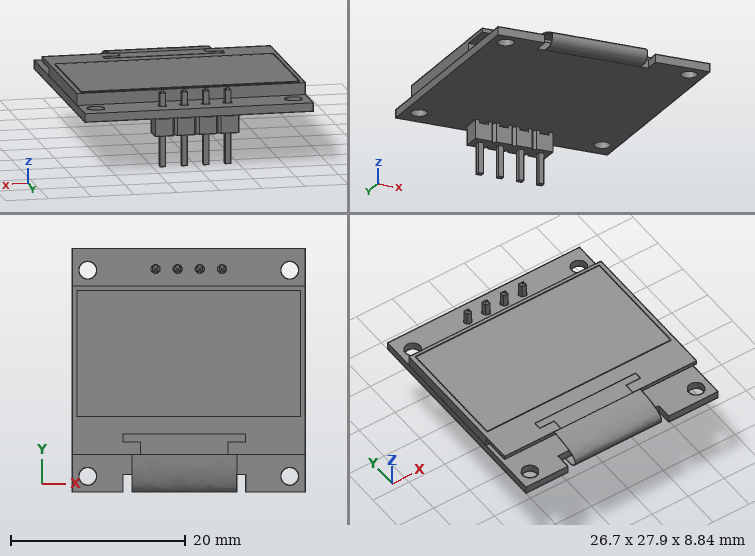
import cadquery as cq


BOARD_X = 26.7
BOARD_Y = 27.86
BOARD_Z = 1.0
BOARD_FRONT = -BOARD_Y / 2
MOUNT_HOLE_DIAMETER = 2.0
MOUNT_HOLE_X = 11.55
MOUNT_HOLE_REAR_Y = 11.44
MOUNT_HOLE_FRONT_Y = -12.13

RIBBON_CENTRE_X = -0.5
RIBBON_X = 12.0
RIBBON_THICKNESS = 0.03
RIBBON_STEP = 1.0
TAIL_STEM_X = RIBBON_X - 2 * RIBBON_STEP
TAIL_BAR_X = RIBBON_X + 2 * RIBBON_STEP
TAIL_BAR_Y = 0.95
TAIL_LENGTH = 2.35
NOTCH_X = RIBBON_X + 2 * RIBBON_STEP
NOTCH_DEPTH = 2.0

GLASS_REAR = 9.62
UPPER_GLASS_Y = 19.24
LOWER_GLASS_Y = 15.5
UPPER_GLASS_Z = 0.5
LOWER_GLASS_Z = 0.9
GLASS_FRONT = GLASS_REAR - UPPER_GLASS_Y
GLASS_TOP = BOARD_Z + LOWER_GLASS_Z + UPPER_GLASS_Z
POLARIZER_X = 25.55
POLARIZER_Y = 14.43
POLARIZER_Z = 0.1
POLARIZER_REAR_INSET = 0.48

PIN_COUNT = 4
PIN_PITCH = 2.54
PIN_WIDTH = 0.64
PIN_ROW_Y = 11.58
PIN_LENGTH = 8.84
PIN_TOP = 2.7
PIN_TIP_HEIGHT = 0.2
PIN_TIP_FLAT = 0.1
PIN_HOLE_DIAMETER = 1.0
PIN_X = [(i - (PIN_COUNT - 1) / 2) * PIN_PITCH for i in range(PIN_COUNT)]
HOUSING_END = 1.07
HOUSING_X = (PIN_COUNT - 1) * PIN_PITCH + 2 * HOUSING_END
HOUSING_Y = 2.3
HOUSING_Z = 2.36
GROOVE_WIDTH = 0.56
GROOVE_DEPTH = 0.45
RELIEF_X = 1.1
RELIEF_Z = 0.35


def block(size_x, size_y, size_z, centre_x, rear_y, bottom_z):
    """Box placed by its X centre, its rear (+Y) face and its bottom face."""
    box = cq.Workplane("XY").box(size_x, size_y, size_z, centered=(True, False, False))
    return box.translate((centre_x, rear_y - size_y, bottom_z))


def make_board():
    board = block(BOARD_X, BOARD_Y, BOARD_Z, 0, BOARD_Y / 2, 0)
    notch_rear = BOARD_FRONT + NOTCH_DEPTH
    board = board.cut(block(NOTCH_X, NOTCH_DEPTH, BOARD_Z, RIBBON_CENTRE_X, notch_rear, 0))
    mount_points = [
        (side * MOUNT_HOLE_X, y) for side in (-1, 1) for y in (MOUNT_HOLE_FRONT_Y, MOUNT_HOLE_REAR_Y)
    ]
    mount_holes = cq.Workplane("XY").pushPoints(mount_points).circle(MOUNT_HOLE_DIAMETER / 2)
    pin_points = [(x, PIN_ROW_Y) for x in PIN_X]
    pin_holes = cq.Workplane("XY").pushPoints(pin_points).circle(PIN_HOLE_DIAMETER / 2)
    return board.cut(mount_holes.extrude(BOARD_Z)).cut(pin_holes.extrude(BOARD_Z))


def make_ribbon_tail():
    """T-shaped tail of the ribbon, let into the glass so that the tops are flush."""
    bottom = GLASS_TOP - RIBBON_THICKNESS
    tail_rear = GLASS_FRONT + TAIL_LENGTH
    stem = block(TAIL_STEM_X, TAIL_LENGTH, RIBBON_THICKNESS, RIBBON_CENTRE_X, tail_rear, bottom)
    bar = block(TAIL_BAR_X, TAIL_BAR_Y, RIBBON_THICKNESS, RIBBON_CENTRE_X, tail_rear, bottom)
    return stem.union(bar)


def make_ribbon():
    """Tail, elliptical sweep down to the board top, round fold under, flat end in the notch."""
    sweep_y = GLASS_FRONT - BOARD_FRONT
    sweep_z = GLASS_TOP - BOARD_Z
    fold_radius = BOARD_Z
    inner_front = BOARD_FRONT + RIBBON_THICKNESS
    notch_rear = BOARD_FRONT + NOTCH_DEPTH
    fold_y = BOARD_FRONT + fold_radius
    profile = (
        cq.Workplane("YZ", origin=(RIBBON_CENTRE_X - RIBBON_X / 2, 0, 0))
        .moveTo(GLASS_FRONT, GLASS_TOP)
        .ellipseArc(sweep_y, sweep_z, 90, 180, startAtCurrent=True)
        .radiusArc((fold_y, 0), -fold_radius)
        .lineTo(notch_rear, 0)
        .lineTo(notch_rear, RIBBON_THICKNESS)
        .lineTo(fold_y, RIBBON_THICKNESS)
        .radiusArc((inner_front, BOARD_Z), fold_radius - RIBBON_THICKNESS)
        .ellipseArc(
            sweep_y - RIBBON_THICKNESS, sweep_z - RIBBON_THICKNESS, 90, 180, startAtCurrent=True, sense=-1
        )
        .close()
    )
    return profile.extrude(RIBBON_X).union(make_ribbon_tail())


def make_display():
    lower = block(BOARD_X, LOWER_GLASS_Y, LOWER_GLASS_Z, 0, GLASS_REAR, BOARD_Z)
    upper = block(BOARD_X, UPPER_GLASS_Y, UPPER_GLASS_Z, 0, GLASS_REAR, BOARD_Z + LOWER_GLASS_Z)
    polarizer_rear = GLASS_REAR - POLARIZER_REAR_INSET
    polarizer = block(POLARIZER_X, POLARIZER_Y, POLARIZER_Z, 0, polarizer_rear, GLASS_TOP)
    return lower.union(upper).union(polarizer).cut(make_ribbon_tail())


def make_pin(x):
    """Square pin with a tapered top."""
    shaft_length = PIN_LENGTH - PIN_TIP_HEIGHT
    shaft = cq.Workplane("XY").box(PIN_WIDTH, PIN_WIDTH, shaft_length, centered=(True, True, False))
    tip = (
        cq.Workplane("XY", origin=(0, 0, shaft_length))
        .rect(PIN_WIDTH, PIN_WIDTH)
        .workplane(offset=PIN_TIP_HEIGHT)
        .rect(PIN_TIP_FLAT, PIN_TIP_FLAT)
        .loft()
    )
    return shaft.union(tip).translate((x, PIN_ROW_Y, PIN_TOP - PIN_LENGTH))


def make_header():
    """Grooved housing under the board, in one piece with its pins."""
    housing_rear = PIN_ROW_Y + HOUSING_Y / 2
    housing = block(HOUSING_X, HOUSING_Y, HOUSING_Z, 0, housing_rear, -HOUSING_Z)
    groove_points = [
        (x + PIN_PITCH / 2, PIN_ROW_Y + side * HOUSING_Y / 2) for x in PIN_X[:-1] for side in (-1, 1)
    ]
    half_width = GROOVE_WIDTH / 2
    groove = (
        cq.Workplane("XY")
        .polyline([(-half_width, 0), (0, -GROOVE_DEPTH), (half_width, 0), (0, GROOVE_DEPTH)])
        .close()
        .extrude(-HOUSING_Z)
    )
    header = housing
    for x, y in groove_points:
        header = header.cut(groove.translate((x, y, 0)))
    for x in PIN_X:
        header = header.cut(block(RELIEF_X, HOUSING_Y, RELIEF_Z, x, housing_rear, -RELIEF_Z))
    for x in PIN_X:
        header = header.union(make_pin(x))
    return header


board = make_board()
display = make_display()
ribbon = make_ribbon()
header = make_header()

bodies = [board, display, ribbon, header]
result = cq.Compound.makeCompound([body.solids().val() for body in bodies])